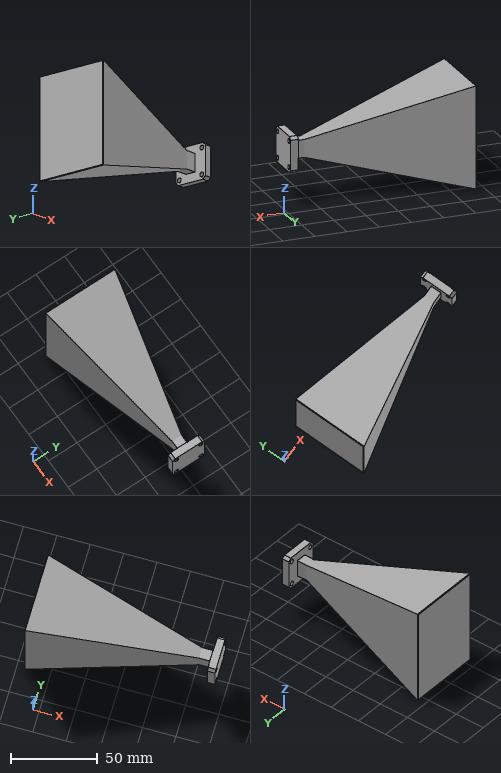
import cadquery as cq

total_length = 110.49

mouth_width = 48.52
mouth_height = 63.71
mouth_rim_chamfer = 0.4

neck_width = 6.86
neck_height = 11.18
neck_length = 7.0

flange_size = 22.4
flange_thickness = 4.85
flange_corner_chamfer = 1.8

hole_diameter = 2.75
hole_spacing_y = 17.02
hole_spacing_z = 16.26

flange_start = total_length - flange_thickness
neck_start = flange_start - neck_length


def section_plane(x):
    """Plane across the horn axis at station x, with local axes along Y and Z."""
    return cq.Workplane("YZ", origin=(x, 0, 0))


def make_rim():
    """Thin bevelled band around the mouth, widest at its inner end."""
    return (
        section_plane(0)
        .rect(mouth_width - 2 * mouth_rim_chamfer, mouth_height - 2 * mouth_rim_chamfer)
        .workplane(offset=mouth_rim_chamfer)
        .rect(mouth_width, mouth_height)
        .loft(ruled=True)
    )


def make_taper():
    """Pyramidal flare narrowing from the rim to the neck."""
    return (
        section_plane(mouth_rim_chamfer)
        .rect(mouth_width, mouth_height)
        .workplane(offset=neck_start - mouth_rim_chamfer)
        .rect(neck_width, neck_height)
        .loft(ruled=True)
    )


def make_neck():
    """Straight rectangular section between the flare and the flange."""
    return section_plane(neck_start).rect(neck_width, neck_height).extrude(neck_length)


def make_flange():
    """Square plate with chamfered corners and four through holes."""
    plate = section_plane(flange_start).rect(flange_size, flange_size).extrude(flange_thickness)
    plate = plate.edges("|X").chamfer(flange_corner_chamfer)
    holes = (
        section_plane(flange_start)
        .rect(hole_spacing_y, hole_spacing_z, forConstruction=True)
        .vertices()
        .circle(hole_diameter / 2)
        .extrude(flange_thickness)
    )
    return plate.cut(holes)


result = make_rim().union(make_taper()).union(make_neck()).union(make_flange())